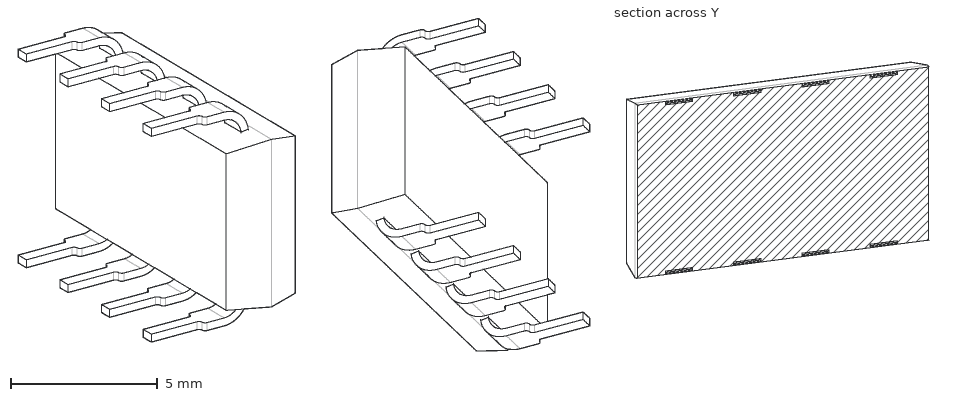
import cadquery as cq
import math

body_length = 10.89
body_height = 6.25
front_depth = 1.70
back_depth = 1.09
end_draft = 8.0
front_side_draft = 7.0
back_side_draft = 10.0

leads_per_row = 4
lead_pitch = 2.54
lead_row_offset = -0.06
row_span = 7.97
lead_thickness = 0.30
bend_outer_radius = 1.0
lead_back_gap = 0.14
lead_tip_reach = 2.27
wide_width = 1.00
narrow_width = 0.50
shoulder_start = 0.70

shoulder_radius = (wide_width - narrow_width) / 4
bend_inner_radius = bend_outer_radius - lead_thickness
row_top = row_span / 2
lead_root_z = row_top - bend_outer_radius
lead_back_y = -lead_back_gap
bend_end_y = lead_back_y - bend_outer_radius
lead_tip_y = -(front_depth + lead_tip_reach)


def tapered_half(depth, side_draft, direction):
    """Half of the body, narrowing from the parting plane along +Y (1) or -Y (-1)."""
    end_inset = depth * math.tan(math.radians(end_draft))
    side_inset = depth * math.tan(math.radians(side_draft))
    return (
        cq.Workplane("XZ")
        .rect(body_length, body_height)
        .workplane(offset=-direction * depth)
        .rect(body_length - 2 * end_inset, body_height - 2 * side_inset)
        .loft(ruled=True)
    )


def lead_side_profile():
    """Constant-thickness strip: quarter bend out of the body, then straight to the tip."""
    diagonal = math.sqrt(0.5)
    inner_z = row_top - lead_thickness
    return (
        cq.Workplane("YZ")
        .moveTo(lead_back_y, lead_root_z)
        .threePointArc(
            (bend_end_y + bend_outer_radius * diagonal, lead_root_z + bend_outer_radius * diagonal),
            (bend_end_y, row_top),
        )
        .lineTo(lead_tip_y, row_top)
        .lineTo(lead_tip_y, inner_z)
        .lineTo(bend_end_y, inner_z)
        .threePointArc(
            (bend_end_y + bend_inner_radius * diagonal, lead_root_z + bend_inner_radius * diagonal),
            (lead_back_y - lead_thickness, lead_root_z),
        )
        .close()
        .extrude(wide_width / 2, both=True)
    )


def lead_plan():
    """Plan outline of a lead: wide root, S-shaped shoulders, narrow tip."""
    half_wide = wide_width / 2
    half_narrow = narrow_width / 2
    shoulder_y = bend_end_y - shoulder_start
    mid_x = half_wide - shoulder_radius
    mid_y = shoulder_y - shoulder_radius
    neck_y = mid_y - shoulder_radius
    return (
        cq.Workplane("XY")
        .moveTo(-half_wide, lead_back_y)
        .lineTo(-half_wide, shoulder_y)
        .radiusArc((-mid_x, mid_y), -shoulder_radius)
        .radiusArc((-half_narrow, neck_y), shoulder_radius)
        .lineTo(-half_narrow, lead_tip_y)
        .lineTo(half_narrow, lead_tip_y)
        .lineTo(half_narrow, neck_y)
        .radiusArc((mid_x, mid_y), shoulder_radius)
        .radiusArc((half_wide, shoulder_y), -shoulder_radius)
        .lineTo(half_wide, lead_back_y)
        .close()
        .extrude(row_top)
    )


top_lead = lead_side_profile().intersect(lead_plan())
bottom_lead = top_lead.mirror("XY")

leads = []
for index in range(leads_per_row):
    lead_x = lead_row_offset + (index - (leads_per_row - 1) / 2) * lead_pitch
    for lead in (top_lead, bottom_lead):
        leads.append(lead.translate((lead_x, 0, 0)))

body = tapered_half(front_depth, front_side_draft, -1).union(tapered_half(back_depth, back_side_draft, 1))
for lead in leads:
    body = body.cut(lead)

result = cq.Compound.makeCompound([body.val(), *[lead.val() for lead in leads]])